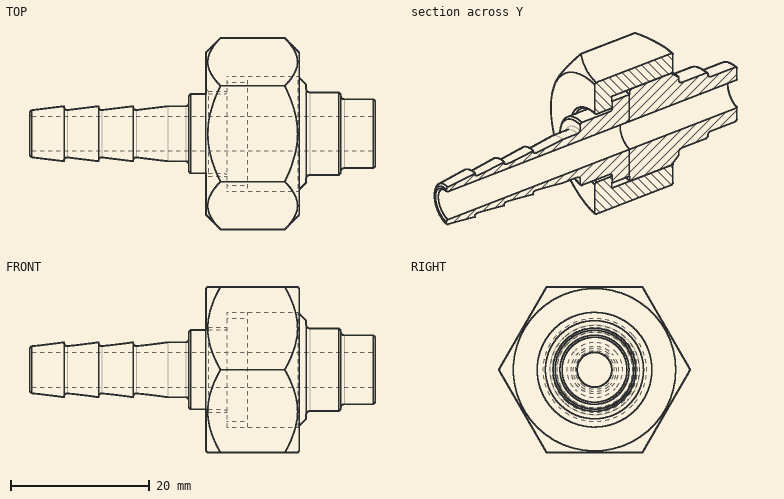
import cadquery as cq
import math

TOTAL_LENGTH = 50.0
BORE_RADIUS = 5.0 / 2
NIPPLE_FILLET = 0.4
SPIGOT_FILLET = 0.5
EDGE_CHAMFER = 0.3

BARB_COUNT = 4
BARB_PITCH = 5.0
BARB_PEAK_RADIUS = 8.0 / 2
BARB_ANGLE = math.radians(7)
BARB_ROOT_RADIUS = BARB_PEAK_RADIUS - BARB_PITCH * math.tan(BARB_ANGLE)

COLLAR_X = 23.0
COLLAR_RADIUS = 11.5 / 2
FLANGE_RADIUS = 14.95 / 2
FLANGE_LENGTH = 3.0

NUT_X = 25.5
NUT_LENGTH = 13.5
NUT_ACROSS_FLATS = 24.0
NUT_ACROSS_CORNERS = NUT_ACROSS_FLATS / math.cos(math.pi / 6)
NUT_FACE_RADIUS = 23.5 / 2
NUT_CORNER_CHAMFER = NUT_ACROSS_CORNERS / 2 - NUT_FACE_RADIUS
NUT_COLLAR_HOLE_RADIUS = 12.3 / 2
NUT_WALL = 3.0
NUT_END_X = NUT_X + NUT_LENGTH
FLANGE_X = NUT_X + NUT_WALL

SPIGOT_X = FLANGE_X + FLANGE_LENGTH
THREAD_RADIUS = 16.6 / 2
THREAD_PROTRUSION = 1.0
THREAD_END_X = NUT_END_X + THREAD_PROTRUSION
THREAD_END_RADIUS = 14.2 / 2
THREAD_CHAMFER = THREAD_RADIUS - THREAD_END_RADIUS
SHOULDER_RADIUS = 12.0 / 2
SHOULDER_LENGTH = 5.0
SHOULDER_END_X = THREAD_END_X + SHOULDER_LENGTH
TIP_RADIUS = 10.0 / 2


def revolve(profile):
    """Turn a closed half profile, drawn as (x, radius), about the X axis."""
    return profile.close().revolve(360, (0, 0, 0), (1, 0, 0))


def fillet_down(profile, x, radius, fillet):
    """Go down a face at x and round the root onto a cylinder to the right of it."""
    slack = fillet * (1 - math.sqrt(0.5))
    return profile.lineTo(x, radius + fillet).threePointArc(
        (x + slack, radius + slack), (x + fillet, radius)
    )


def fillet_up(profile, x, radius, fillet):
    """Follow a cylinder to the right and round its root into the face at x."""
    slack = fillet * (1 - math.sqrt(0.5))
    return profile.lineTo(x - fillet, radius).threePointArc(
        (x - slack, radius + slack), (x, radius + fillet)
    )


def add_barb_root(profile, x):
    """Step down behind a barb at x and round the corner into the next cone."""
    center_x = x + NIPPLE_FILLET
    cone_rise = NIPPLE_FILLET * math.tan(BARB_ANGLE)
    center_radius = BARB_ROOT_RADIUS + cone_rise + NIPPLE_FILLET / math.cos(BARB_ANGLE)
    start_angle = math.pi
    end_angle = math.radians(270) + BARB_ANGLE
    middle_angle = (start_angle + end_angle) / 2
    middle, end = [
        (center_x + NIPPLE_FILLET * math.cos(angle), center_radius + NIPPLE_FILLET * math.sin(angle))
        for angle in (middle_angle, end_angle)
    ]
    return profile.lineTo(x, center_radius).threePointArc(middle, end)


def make_nipple():
    tip_radius = BARB_ROOT_RADIUS + EDGE_CHAMFER * math.tan(BARB_ANGLE)
    profile = (
        cq.Workplane("XY")
        .moveTo(0, BORE_RADIUS + EDGE_CHAMFER)
        .lineTo(0, tip_radius - EDGE_CHAMFER)
        .lineTo(EDGE_CHAMFER, tip_radius)
    )
    for barb in range(1, BARB_COUNT):
        peak_x = barb * BARB_PITCH
        profile = add_barb_root(profile.lineTo(peak_x, BARB_PEAK_RADIUS), peak_x)
    profile = profile.lineTo(BARB_COUNT * BARB_PITCH, BARB_PEAK_RADIUS)
    profile = (
        fillet_up(profile, COLLAR_X, BARB_PEAK_RADIUS, NIPPLE_FILLET)
        .lineTo(COLLAR_X, COLLAR_RADIUS - EDGE_CHAMFER)
        .lineTo(COLLAR_X + EDGE_CHAMFER, COLLAR_RADIUS)
    )
    profile = (
        fillet_up(profile, FLANGE_X, COLLAR_RADIUS, NIPPLE_FILLET)
        .lineTo(FLANGE_X, FLANGE_RADIUS)
        .lineTo(SPIGOT_X, FLANGE_RADIUS)
        .lineTo(SPIGOT_X, BORE_RADIUS)
        .lineTo(EDGE_CHAMFER, BORE_RADIUS)
    )
    return revolve(profile)


def make_nut():
    hexagon = (
        cq.Workplane("YZ", origin=(NUT_X, 0, 0))
        .polygon(6, NUT_ACROSS_CORNERS)
        .extrude(NUT_LENGTH)
    )
    corner_radius = NUT_ACROSS_CORNERS / 2
    envelope = revolve(
        cq.Workplane("XY")
        .moveTo(NUT_X, NUT_COLLAR_HOLE_RADIUS + EDGE_CHAMFER)
        .lineTo(NUT_X, NUT_FACE_RADIUS)
        .lineTo(NUT_X + NUT_CORNER_CHAMFER, corner_radius)
        .lineTo(NUT_END_X - NUT_CORNER_CHAMFER, corner_radius)
        .lineTo(NUT_END_X, NUT_FACE_RADIUS)
        .lineTo(NUT_END_X, THREAD_RADIUS)
        .lineTo(FLANGE_X, THREAD_RADIUS)
        .lineTo(FLANGE_X, NUT_COLLAR_HOLE_RADIUS)
        .lineTo(NUT_X + EDGE_CHAMFER, NUT_COLLAR_HOLE_RADIUS)
    )
    return hexagon.intersect(envelope)


def make_spigot():
    profile = (
        cq.Workplane("XY")
        .moveTo(SPIGOT_X, BORE_RADIUS)
        .lineTo(SPIGOT_X, THREAD_RADIUS)
        .lineTo(THREAD_END_X - THREAD_CHAMFER, THREAD_RADIUS)
        .lineTo(THREAD_END_X, THREAD_END_RADIUS)
    )
    profile = (
        fillet_down(profile, THREAD_END_X, SHOULDER_RADIUS, SPIGOT_FILLET)
        .lineTo(SHOULDER_END_X - EDGE_CHAMFER, SHOULDER_RADIUS)
        .lineTo(SHOULDER_END_X, SHOULDER_RADIUS - EDGE_CHAMFER)
    )
    profile = (
        fillet_down(profile, SHOULDER_END_X, TIP_RADIUS, SPIGOT_FILLET)
        .lineTo(TOTAL_LENGTH - EDGE_CHAMFER, TIP_RADIUS)
        .lineTo(TOTAL_LENGTH, TIP_RADIUS - EDGE_CHAMFER)
        .lineTo(TOTAL_LENGTH, BORE_RADIUS)
    )
    return revolve(profile)


nipple = make_nipple()
nut = make_nut()
spigot = make_spigot()

result = cq.Compound.makeCompound([nipple.val(), nut.val(), spigot.val()])